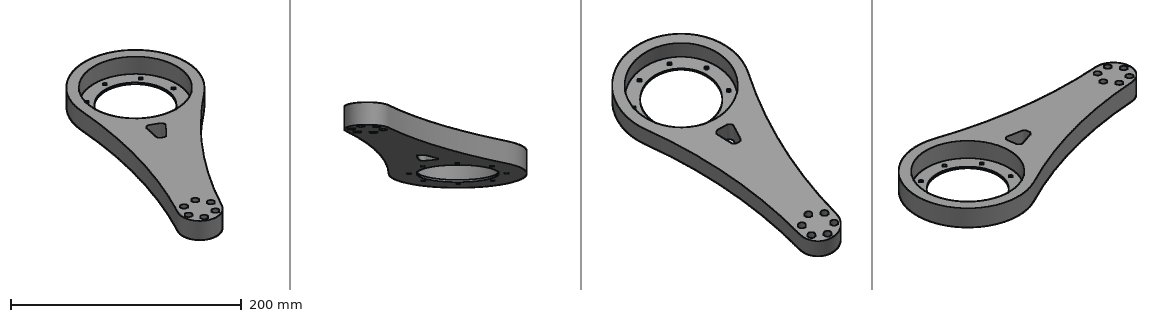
import cadquery as cq
import math

length = 280.0
thickness = 20.0
ring_radius = 60.0
tip_radius = 20.0
tip_x = length - ring_radius - tip_radius
flank_radius = 460.0

pocket_radius = 49.0
bore_radius = 35.5
floor_thickness = 2.0

ring_hole_count = 8
ring_hole_circle_radius = 42.3
ring_hole_diameter = 3.5
tip_hole_count = 6
tip_hole_circle_radius = 14.0
tip_hole_diameter = 7.0

window_start_x = 60.5
window_length = 22.5
window_wide_end = 19.5
window_narrow_end = 7.8
window_corner_radius = 4.0


def arm_blank():
    """Two round ends joined by concave flanks tangent to both."""
    ring_reach = ring_radius + flank_radius
    tip_reach = tip_radius + flank_radius
    center_x = (ring_reach**2 - tip_reach**2 + tip_x**2) / (2 * tip_x)
    center_y = math.sqrt(ring_reach**2 - center_x**2)

    ring_x = center_x * ring_radius / ring_reach
    ring_y = center_y * ring_radius / ring_reach
    tip_end_x = tip_x + (center_x - tip_x) * tip_radius / tip_reach
    tip_end_y = center_y * tip_radius / tip_reach

    chord_x = (ring_x + tip_end_x) / 2 - center_x
    chord_y = (ring_y + tip_end_y) / 2 - center_y
    chord_distance = math.hypot(chord_x, chord_y)
    middle_x = center_x + flank_radius * chord_x / chord_distance
    middle_y = center_y + flank_radius * chord_y / chord_distance

    return (
        cq.Workplane("XY")
        .moveTo(ring_x, ring_y)
        .threePointArc((-ring_radius, 0), (ring_x, -ring_y))
        .threePointArc((middle_x, -middle_y), (tip_end_x, -tip_end_y))
        .threePointArc((tip_x + tip_radius, 0), (tip_end_x, tip_end_y))
        .threePointArc((middle_x, middle_y), (ring_x, ring_y))
        .close()
        .extrude(thickness)
    )


def hole_circle(center_x, circle_radius, count, diameter, start_angle):
    """Through-hole cutters evenly spaced around a circle."""
    return (
        cq.Workplane("XY")
        .center(center_x, 0)
        .polarArray(circle_radius, start_angle, 360, count)
        .circle(diameter / 2)
        .extrude(thickness)
    )


def window():
    """Tapered through-window with rounded corners."""
    end_x = window_start_x + window_length
    return (
        cq.Workplane("XY")
        .polyline([
            (window_start_x, -window_wide_end / 2),
            (end_x, -window_narrow_end / 2),
            (end_x, window_narrow_end / 2),
            (window_start_x, window_wide_end / 2),
        ])
        .close()
        .extrude(thickness)
        .edges("|Z")
        .fillet(window_corner_radius)
    )


pocket = cq.Workplane("XY").workplane(offset=floor_thickness).circle(pocket_radius).extrude(thickness)
bore = cq.Workplane("XY").circle(bore_radius).extrude(thickness)
ring_hole_start = 180 / ring_hole_count
ring_holes = hole_circle(
    0, ring_hole_circle_radius, ring_hole_count, ring_hole_diameter, ring_hole_start
)
tip_holes = hole_circle(tip_x, tip_hole_circle_radius, tip_hole_count, tip_hole_diameter, 0)

result = arm_blank().cut(pocket).cut(bore).cut(ring_holes).cut(tip_holes).cut(window())